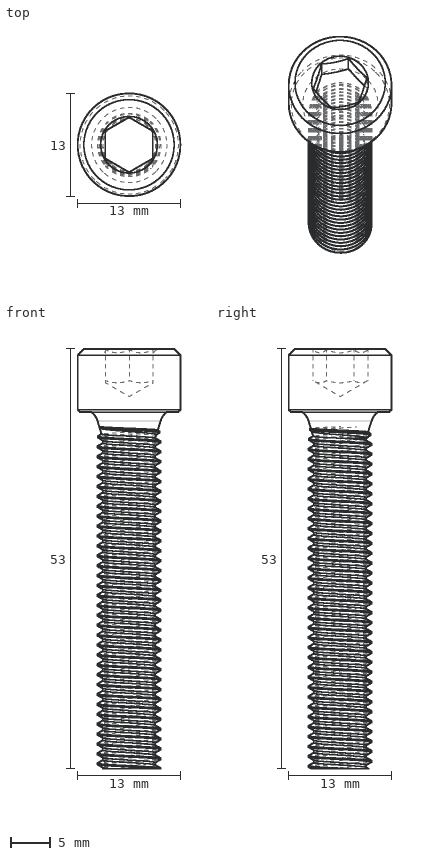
import cadquery as cq
import math

head_diameter = 13.0
head_height = 8.0
top_chamfer = 0.8
bottom_chamfer = 0.3

socket_sides = 6
socket_across_flats = 6.0
socket_depth = 4.0
socket_mouth_diameter = 7.15
mouth_slope = math.radians(40)
floor_slope = math.radians(30)

shank_length = 45.0
neck_top_diameter = 9.5
neck_waist_diameter = 8.0
neck_waist_depth = 1.1
neck_end_depth = 3.3
neck_overlap = 0.5

thread_diameter = 8.0
pitch = 1.25
root_diameter = 6.65
crest_width = pitch / 8
flank_angle = math.radians(30)
root_overlap = 0.1
tip_extension = pitch / 2
thread_start_angle = 180

thread_end_depth = pitch
runout_turns = 2
runout_taper = 6.5

head_radius = head_diameter / 2
thread_radius = thread_diameter / 2
root_radius = root_diameter / 2

ORIGIN = cq.Vector(0, 0, 0)
Z_AXIS = cq.Vector(0, 0, 1)
NO_CONE = 360


def revolve_about_z(points):
    """Turn a closed polygon of (radius, z) points into a solid of revolution."""
    return cq.Workplane("XZ").polyline(points).close().revolve(360, (0, 0, 0), (0, 1, 0))


def make_head():
    head = cq.Workplane("XY").circle(head_radius).extrude(head_height)
    head = head.faces(">Z").chamfer(top_chamfer)
    return head.faces("<Z").chamfer(bottom_chamfer)


def make_core():
    """Shank at root diameter, a conical neck, and an arc out to the head."""
    neck_top_radius = neck_top_diameter / 2
    neck_waist_radius = neck_waist_diameter / 2
    profile = (
        cq.Workplane("XZ")
        .moveTo(root_radius, -shank_length)
        .lineTo(root_radius, -neck_end_depth)
        .lineTo(neck_waist_radius, -neck_waist_depth)
        .tangentArcPoint((neck_top_radius, 0), relative=False)
        .lineTo(neck_top_radius, neck_overlap)
        .lineTo(0, neck_overlap)
        .lineTo(0, -shank_length)
        .close()
    )
    return profile.revolve(360, (0, 0, 0), (0, 1, 0))


def ridge_section(bottom_z, height, start_angle, crest_cone, slant=1.0):
    """Four helices along the corners of the ridge, its base sunk into the shank.

    A helix on a cone is measured along the slant of that cone, so the pitch and
    the height of the crest are stretched by the slant factor.
    """
    inner_radius = root_radius - root_overlap
    half_crest = crest_width / 2
    half_base = half_crest + (thread_radius - inner_radius) * math.tan(flank_angle)

    def helix(radius, z_offset, cone_angle, stretch):
        wire = cq.Wire.makeHelix(
            pitch * stretch, height * stretch, radius, angle=cone_angle, lefthand=True
        )
        wire = wire.rotate(ORIGIN, Z_AXIS, start_angle)
        return wire.translate(cq.Vector(0, 0, bottom_z + z_offset))

    return [
        helix(inner_radius, -half_base, NO_CONE, 1),
        helix(thread_radius, -half_crest, crest_cone, slant),
        helix(thread_radius, half_crest, crest_cone, slant),
        helix(inner_radius, half_base, NO_CONE, 1),
    ]


def ridge_sides(corners):
    next_corners = corners[1:] + corners[:1]
    return [cq.Face.makeRuledSurface(a, b) for a, b in zip(corners, next_corners)]


def ridge_end(end_points):
    return cq.Face.makeFromWires(cq.Wire.makePolygon(end_points, close=True))


def make_thread():
    """Helical ridge from below the tip up to a runout buried in the neck."""
    full_bottom = -shank_length - tip_extension
    runout_height = runout_turns * pitch
    runout_bottom = -thread_end_depth - runout_height
    full_height = runout_bottom - full_bottom
    runout_angle = thread_start_angle - 360 * full_height / pitch

    full = ridge_section(full_bottom, full_height, thread_start_angle, NO_CONE)
    slant = 1 / math.cos(math.radians(runout_taper))
    runout = ridge_section(runout_bottom, runout_height, runout_angle, -runout_taper, slant)
    faces = ridge_sides(full) + ridge_sides(runout)
    faces.append(ridge_end([corner.startPoint() for corner in full]))
    faces.append(ridge_end([corner.endPoint() for corner in runout]))
    return cq.Workplane(obj=cq.Solid.makeSolid(cq.Shell.makeShell(faces)))


def make_tip_cutter():
    """Disc below the shank that trims the ridge flush with the tip."""
    disc = cq.Workplane("XY").workplane(offset=-shank_length).circle(head_radius)
    return disc.extrude(-tip_extension - pitch)


def make_socket():
    corner_diameter = socket_across_flats / math.cos(math.pi / socket_sides)
    corner_radius = corner_diameter / 2
    floor_z = head_height - socket_depth
    apex_z = floor_z - corner_radius * math.tan(floor_slope)
    hexagon = (
        cq.Workplane("XY")
        .workplane(offset=apex_z)
        .transformed(rotate=(0, 0, 90))
        .polygon(socket_sides, corner_diameter)
        .extrude(head_height - apex_z)
    )
    pointed_bore = revolve_about_z([
        (0, apex_z),
        (corner_radius, floor_z),
        (corner_radius, head_height),
        (0, head_height),
    ])
    mouth_radius = socket_mouth_diameter / 2
    mouth = revolve_about_z([
        (0, head_height),
        (mouth_radius, head_height),
        (0, head_height - mouth_radius * math.tan(mouth_slope)),
    ])
    return hexagon.intersect(pointed_bore).union(mouth)


threaded_shank = make_core().union(make_thread()).cut(make_tip_cutter())
result = make_head().union(threaded_shank).cut(make_socket())